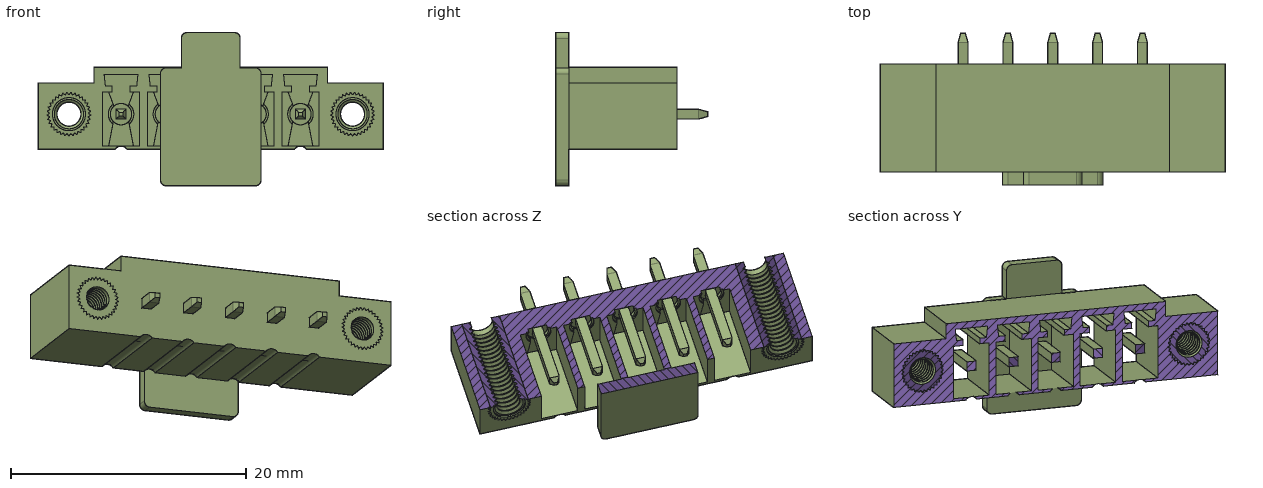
import cadquery as cq
import math

width = 29.25
block_width = 19.82
block_height = 6.95
ear_height = 5.65
housing_depth = 9.18

plate_thickness = 1.1
plate_width = 8.55
plate_bottom = -3.1
plate_height = 13.0
plate_shoulder = 6.9
tab_width = 5.0
plate_corner_radius = 0.5

contact_count = 5
pitch = 3.8
axis_height = 2.98
pin_size = 0.85
pin_setback = 1.3
pin_front_size = 0.32
pin_front_taper = 0.4
pin_tail_size = 0.4
pin_tail_taper = 0.8
pin_protrusion = 2.6

chamber_width = 3.15
chamber_floor = 0.278
chamber_ceiling = 4.85
neck_width = 1.5
neck_top = 5.38
head_lower_width = 2.65
head_upper_width = 2.87
head_top = 6.35
chamber_depth = 6.73
back_step = 0.15
ring_diameter = 2.15
seat_diameter = 1.8
waist_width = 0.95
waist_height = 3.3
flare_width = 2.1
groove_diameter = 1.25
groove_depth = 0.25

insert_offset = 12.02
knurl_diameter = 3.7
knurl_depth = 0.2
knurl_teeth = 33
mouth_diameter = 2.8
mouth_depth = 0.15
thread_major = 2.5
thread_minor = 2.02
thread_pitch = 0.45
thread_crest = 0.1

front = plate_thickness
back = front + housing_depth
ring_depth = chamber_depth + back_step
slot_depth = ring_depth + back_step
seat_depth = slot_depth + back_step
contact_places = [(i - (contact_count - 1) / 2) * pitch for i in range(contact_count)]
insert_places = [-insert_offset, insert_offset]

key_outline = [
    (neck_width / 2, neck_top),
    (head_lower_width / 2, neck_top),
    (head_upper_width / 2, head_top),
]


def facing(x, y, z):
    """Vertical sketch plane facing -Y; a negative extrusion length goes towards +Y."""
    return cq.Workplane(cq.Plane(origin=(x, y, z), xDir=(1, 0, 0), normal=(0, -1, 0)))


def symmetric_prism(half_outline, x, y, depth):
    """Mirror (half width, height) points about the vertical through x and extrude to +Y."""
    mirrored = [(-half, z) for half, z in reversed(half_outline)]
    return facing(x, y, 0).polyline(half_outline + mirrored).close().extrude(-depth)


def round_cut(diameter, x, z, depth):
    return facing(x, front, z).circle(diameter / 2).extrude(-depth)


def knurl_prism(x):
    """Toothed cylinder through the full depth of an ear, with one tooth pointing straight down."""
    tip = knurl_diameter / 2
    root = tip - knurl_depth
    points = []
    for i in range(2 * knurl_teeth):
        radius = tip if i % 2 == 0 else root
        angle = math.pi * (i / knurl_teeth - 0.5)
        points.append((radius * math.cos(angle), radius * math.sin(angle)))
    return facing(x, front, axis_height).polyline(points).close().extrude(-housing_depth)


def pin_section(x, y):
    return facing(x, y, axis_height).rect(pin_size, pin_size)


def pin(x):
    """Square contact tapered at both ends."""
    shank_start = front + pin_setback + pin_front_taper
    shank_end = back + pin_protrusion - pin_tail_taper
    shank = pin_section(x, shank_start).extrude(shank_start - shank_end)
    front_taper = (
        pin_section(x, shank_start)
        .workplane(offset=pin_front_taper).rect(pin_front_size, pin_front_size).loft()
    )
    tail_taper = (
        pin_section(x, shank_end)
        .workplane(offset=-pin_tail_taper).rect(pin_tail_size, pin_tail_size).loft()
    )
    return shank.union(front_taper).union(tail_taper)


def thread_bore(x):
    """Through bore with a wider mouth and ring-shaped V grooves in place of a helix."""
    major = thread_major / 2
    minor = thread_minor / 2
    mouth = mouth_diameter / 2
    thread_start = front + mouth_depth
    groove_count = int((housing_depth - mouth_depth) / thread_pitch)
    flank = (thread_pitch - thread_crest) / 2
    points = [(0, front), (mouth, front), (mouth, thread_start)]
    for i in range(groove_count):
        y = thread_start + i * thread_pitch
        points += [(major, y), (minor, y + flank), (minor, y + flank + thread_crest)]
    points += [(minor, back), (0, back)]
    bore = cq.Workplane("XY").polyline(points).close().revolve(360, (0, 0, 0), (0, 1, 0))
    return bore.translate((x, 0, axis_height))


def insert(x):
    return knurl_prism(x).cut(thread_bore(x))


def chamber(x):
    """Chamber for one contact with a T-shaped key slot above it."""
    half = chamber_width / 2
    main = symmetric_prism([(half, chamber_floor), (half, chamber_ceiling)], x, front, chamber_depth)
    key_slot = symmetric_prism(
        [
            (neck_width / 2, chamber_floor),
            *key_outline,
        ],
        x, front, chamber_depth,
    )
    return main.union(key_slot)


def back_recesses(x):
    """Stepped recesses in the back wall of a chamber: ring, waisted slot with key, round seat."""
    ring = round_cut(ring_diameter, x, axis_height, ring_depth)
    waisted_slot = symmetric_prism(
        [
            (flare_width / 2, chamber_floor),
            (waist_width / 2, waist_height),
            (flare_width / 2, chamber_ceiling),
            (neck_width / 2, chamber_ceiling),
            *key_outline,
        ],
        x, front + chamber_depth, slot_depth - chamber_depth,
    )
    seat = round_cut(seat_diameter, x, axis_height, seat_depth)
    return ring.union(waisted_slot).union(seat)


def underside_groove(x):
    return round_cut(groove_diameter, x, groove_depth - groove_diameter / 2, housing_depth)


def make_housing():
    body = symmetric_prism(
        [
            (width / 2, 0),
            (width / 2, ear_height),
            (block_width / 2, ear_height),
            (block_width / 2, block_height),
        ],
        0, front, housing_depth,
    )
    for x in contact_places:
        body = body.cut(chamber(x)).cut(back_recesses(x)).cut(underside_groove(x)).cut(pin(x))
    for x in insert_places:
        body = body.cut(knurl_prism(x))
    return body


def make_plate():
    """Flat plate with a narrower tab on top and rounded outer corners."""
    plate_top = plate_bottom + plate_height
    main = (
        facing(0, 0, (plate_bottom + plate_shoulder) / 2)
        .rect(plate_width, plate_shoulder - plate_bottom)
        .extrude(-plate_thickness)
        .edges("|Y").fillet(plate_corner_radius)
    )
    tab = (
        facing(0, 0, (axis_height + plate_top) / 2)
        .rect(tab_width, plate_top - axis_height)
        .extrude(-plate_thickness)
        .edges("|Y and >Z").fillet(plate_corner_radius)
    )
    return main.union(tab)


housing = make_housing()
plate = make_plate()
pins = [pin(x) for x in contact_places]
inserts = [insert(x) for x in insert_places]

result = cq.Compound.makeCompound(
    [housing.val(), plate.val(), *[p.val() for p in pins], *[i.val() for i in inserts]]
)